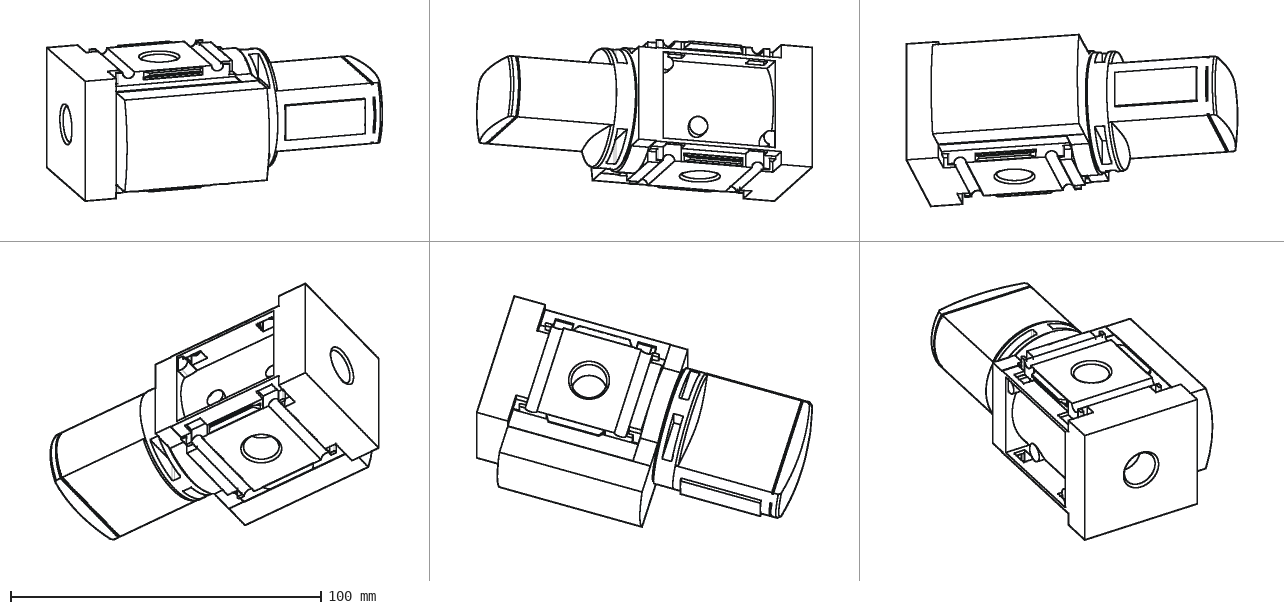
import cadquery as cq
import math

overall_width = 54.0
body_width = 42.1
body_height = 40.2
body_length = 58.5
half_width = body_width / 2
half_height = body_height / 2
front_plate = 10.5
back_plate = 5.9
back_block_half_height = 15.5
recess_end = body_length - back_plate
mid_y = (front_plate + recess_end) / 2

platform_half_width = 15.1
recess_floor = 15.7
groove_radius = 2.0
groove_offset = 15.0
corner_pocket_floor = 16.6
corner_pocket_inner = 11.7
corner_pocket_start = 17.1
hook_length = 2.1
hook_width = 1.0
hook_rounding = 0.4
flank_relief = 0.1

rib_half_length = 9.9
rib_end_taper = 1.5
rib_reach = 2.2
rib_top = 19.9
rib_outer_bottom = 19.1
rib_root_bottom = 17.9
rib_pocket_bottom = 17.2
rib_pocket_depth = 0.4

port_diameter = 11.5
port_mouth_diameter = 13.1
port_depth = 10.4

chamber_start = 12.4
chamber_end = 50.2
chamber_half_height = 14.5
bowl_radius = 18.6
peg_end_x = -17.9
peg_diameter = 6.1
peg_y = 37.4
peg_z = -8.4
lug_end_x = -20.2
lug_radius = 2.3
lug_inset = 1.3
lug_strip = 1.9
lug_z = 11.1
window_width = 3.8
window_length = 6.1
window_inner_offset = 10.9

cover_half_height = 15.4
cover_edge_x = 30.4
cover_crown_x = overall_width - half_width

neck_radius = 18.8
ring_radius = 38.8 / 2
ring_start = 59.0
ring_end = 65.5
cone_edge = (19.0, 66.4)
cone_tip = (9.3, 68.2)
notch_start = 60.9
notch_end = 64.1
notch_floor = 11.1
notch_length = 13.1
notch_gap = 5.8
notch_rounding = 0.5
knob_radius = 19.5
knob_half_thickness = 10.1
knob_end = 103.5
dome_edge = (18.8, 101.0)
dome_mid_radius = 9.7
knob_side_end = 100.2
cap_gap_start = 98.0
cap_gap_width = 0.5
cap_core_left = -16.8
cap_core_right = 18.5
cap_core_half_thickness = 9.7
pad_start = 68.1
pad_end = 95.0
pad_half_height = 5.8
pad_face_x = 19.6


def block(x_range, y_range, z_range):
    """Box between two limits along each axis."""
    size = [high - low for low, high in (x_range, y_range, z_range)]
    corner = (x_range[0], y_range[0], z_range[0])
    return cq.Workplane("XY").box(*size, centered=False).translate(corner)


def rod_along_y(radius, start, end):
    """Cylinder around the knob axis."""
    axis = cq.Vector(0, 1, 0)
    return cq.Workplane(cq.Solid.makeCylinder(radius, end - start, cq.Vector(0, start, 0), axis))


def peg_along_x(radius, end_x, y, z):
    """Peg from the bowl towards -X."""
    return cq.Workplane(
        cq.Solid.makeCylinder(radius, -end_x, cq.Vector(end_x, y, z), cq.Vector(1, 0, 0))
    )


def both_x(shape):
    return shape.union(shape.mirror("YZ"))


def both_z(shape):
    return shape.union(shape.mirror("XY"))


def both_ends(shape):
    """Shape plus its mirror image about the middle of the platform length."""
    return shape.union(shape.mirror("XZ", (0, mid_y, 0)))


def port(origin, inward):
    """Blind port with a chamfered mouth."""
    mouth = cq.Vector(*origin)
    direction = cq.Vector(*inward)
    chamfer = (port_mouth_diameter - port_diameter) / 2
    bore = cq.Solid.makeCylinder(port_diameter / 2, port_depth, mouth, direction)
    cone = cq.Solid.makeCone(port_mouth_diameter / 2, port_diameter / 2, chamfer, mouth, direction)
    return cq.Workplane(bore).union(cq.Workplane(cone))


def back_flange():
    """Back plate: a low block with the round collar rising above it."""
    low_block = block(
        (-half_width, half_width),
        (recess_end, body_length),
        (-back_block_half_height, back_block_half_height),
    )
    return low_block.union(rod_along_y(half_height, recess_end, body_length))


def corner_pocket():
    """Pocket at the -X, +Y corner of the top platform, leaving a rounded hook."""
    start = mid_y + corner_pocket_start
    heights = (corner_pocket_floor, half_height)
    pocket = block((-platform_half_width, -corner_pocket_inner), (start, recess_end), heights)
    hook = block(
        (-platform_half_width, -platform_half_width + hook_width),
        (start, start + hook_length),
        heights,
    )
    hook = hook.edges("|Z and >Y").fillet(hook_rounding)
    return pocket.cut(hook)


def platform():
    """Top platform with its two cross grooves and corner pockets."""
    pad = block(
        (-platform_half_width, platform_half_width),
        (front_plate, recess_end),
        (recess_floor, half_height),
    )
    grooves = (
        cq.Workplane("YZ", origin=(-platform_half_width, 0, 0))
        .pushPoints([(mid_y - groove_offset, half_height), (mid_y + groove_offset, half_height)])
        .circle(groove_radius)
        .extrude(2 * platform_half_width)
    )
    return pad.cut(grooves).cut(both_ends(both_x(corner_pocket())))


def rib():
    """Wedge on the -X flank: undercut below and tapered at both ends."""
    root_x = -platform_half_width
    outer_x = root_x - rib_reach
    outer_half_length = rib_half_length - rib_end_taper
    plan = (
        cq.Workplane("XY")
        .moveTo(root_x, mid_y - rib_half_length)
        .lineTo(outer_x, mid_y - outer_half_length)
        .lineTo(outer_x, mid_y + outer_half_length)
        .lineTo(root_x, mid_y + rib_half_length)
        .close()
        .extrude(rib_top)
    )
    section = (
        cq.Workplane("XZ", origin=(0, mid_y + rib_half_length, 0))
        .moveTo(root_x, rib_root_bottom)
        .lineTo(outer_x, rib_outer_bottom)
        .lineTo(outer_x, rib_top)
        .lineTo(root_x, rib_top)
        .close()
        .extrude(2 * rib_half_length)
    )
    return plan.intersect(section)


def rib_pocket():
    """Shallow pocket in the platform flank below the rib."""
    return block(
        (-platform_half_width, -platform_half_width + rib_pocket_depth),
        (mid_y - rib_half_length, mid_y + rib_half_length),
        (rib_pocket_bottom, rib_root_bottom),
    )


def chamber():
    """Space around the bowl, open towards -X."""
    space = block(
        (-half_width, 0),
        (chamber_start, chamber_end),
        (-chamber_half_height, chamber_half_height),
    )
    return space.cut(rod_along_y(bowl_radius, 0, body_length))


def wall_window():
    """Window through the upper chamber wall, continued as a faint relief up the platform flank."""
    start = mid_y + window_inner_offset
    return block(
        (-platform_half_width - window_width, -platform_half_width + flank_relief),
        (start, start + window_length),
        (chamber_half_height, half_height),
    )


def bowl_lug():
    """Rounded lug in the upper back corner of the chamber."""
    lug_y = chamber_end - lug_inset
    depth = (lug_end_x, 0)
    foot = block(depth, (lug_y, chamber_end), (lug_z - lug_radius, lug_z))
    strip = block(depth, (chamber_end - lug_strip, chamber_end), (lug_z, chamber_half_height))
    return peg_along_x(lug_radius, lug_end_x, lug_y, lug_z).union(foot).union(strip)


def chamber_pegs():
    """Round peg and the two lugs placed point-symmetrically in the chamber opening."""
    chamber_middle = (chamber_start + chamber_end) / 2
    upper = bowl_lug()
    lower = upper.rotate((0, chamber_middle, 0), (1, chamber_middle, 0), 180)
    return peg_along_x(peg_diameter / 2, peg_end_x, peg_y, peg_z).union(upper).union(lower)


def body():
    front = block((-half_width, half_width), (0, front_plate), (-half_height, half_height))
    core = block((-half_width, half_width), (front_plate, recess_end), (-recess_floor, recess_floor))
    shape = front.union(core).union(back_flange())
    shape = shape.union(both_z(platform()))
    shape = shape.cut(both_z(both_x(rib_pocket())))
    shape = shape.union(both_z(both_x(rib())))
    shape = shape.cut(chamber())
    shape = shape.cut(both_z(both_ends(wall_window())))
    shape = shape.union(chamber_pegs())
    shape = shape.cut(port((0, 0, 0), (0, 1, 0)))
    return shape.cut(both_z(port((0, mid_y, half_height), (0, 0, -1))))


def side_cover():
    """Cover block with a crowned outer face."""
    return (
        cq.Workplane("XZ", origin=(0, front_plate, 0))
        .moveTo(half_width, -cover_half_height)
        .lineTo(cover_edge_x, -cover_half_height)
        .threePointArc((cover_crown_x, 0), (cover_edge_x, cover_half_height))
        .lineTo(half_width, cover_half_height)
        .close()
        .extrude(front_plate - body_length)
    )


def ring_notches():
    """Two top notches in the ring, each rounded at its +X end."""
    notches = cq.Workplane("XY")
    for start in (-notch_gap / 2 - notch_length, notch_gap / 2):
        notch = block((start, start + notch_length), (notch_start, notch_end), (notch_floor, half_height))
        notches = notches.union(notch.edges("|Z and >X").fillet(notch_rounding))
    return notches


def ring():
    """Ring below the knob, closed by a flat cone."""
    profile = (
        cq.Workplane("XY")
        .moveTo(0, body_length)
        .lineTo(neck_radius, body_length)
        .lineTo(neck_radius, ring_start)
        .lineTo(ring_radius, ring_start)
        .lineTo(ring_radius, ring_end)
        .lineTo(*cone_edge)
        .lineTo(*cone_tip)
        .lineTo(0, cone_tip[1])
        .close()
    )
    turned = profile.revolve(360, (0, 0, 0), (0, 1, 0))
    return turned.cut(both_z(ring_notches()))


def knob():
    """Round knob flattened on top and bottom, with a domed cap and a pad on +X."""
    edge_radius, edge_y = dome_edge
    sphere_radius = (edge_radius**2 + (knob_end - edge_y) ** 2) / (2 * (knob_end - edge_y))
    dome_mid_y = knob_end - sphere_radius + math.sqrt(sphere_radius**2 - dome_mid_radius**2)
    profile = (
        cq.Workplane("XY")
        .moveTo(0, ring_end)
        .lineTo(knob_radius, ring_end)
        .lineTo(knob_radius, knob_side_end)
        .lineTo(*dome_edge)
        .threePointArc((dome_mid_radius, dome_mid_y), (0, knob_end))
        .close()
    )
    slab = block(
        (-half_width, half_width),
        (ring_end, knob_end),
        (-knob_half_thickness, knob_half_thickness),
    )
    shape = profile.revolve(360, (0, 0, 0), (0, 1, 0)).intersect(slab)

    gap_range = (cap_gap_start, cap_gap_start + cap_gap_width)
    gap = block((-half_width, half_width), gap_range, (-half_height, half_height))
    core = block(
        (cap_core_left, cap_core_right),
        gap_range,
        (-cap_core_half_thickness, cap_core_half_thickness),
    )
    pad = block((0, pad_face_x), (pad_start, pad_end), (-pad_half_height, pad_half_height))
    return shape.cut(gap.cut(core)).union(pad)


result = body().union(side_cover()).union(ring()).union(knob())